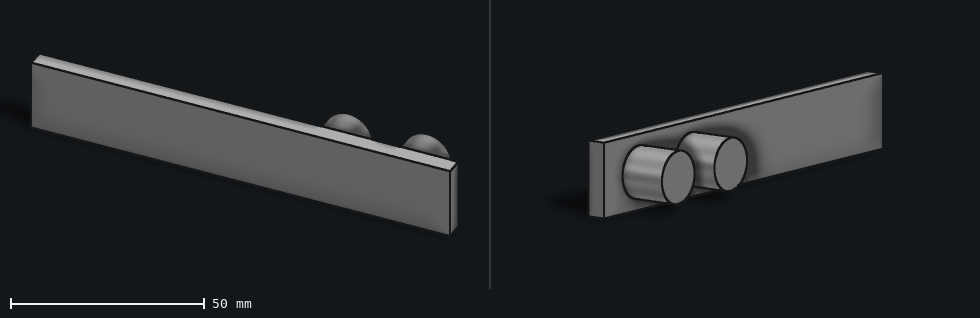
import cadquery as cq

plate_length = 120.0
plate_thickness = 5.0
plate_height = 20.0

overall_depth = 17.8
peg_length = overall_depth - plate_thickness
peg_diameter = 14.0
peg_spacing = 22.5
end_to_outer_peg = 15.0

outer_peg_x = plate_length / 2 - end_to_outer_peg
inner_peg_x = outer_peg_x - peg_spacing


def make_plate():
    """Plate centred on X and Z, with its front face at Y = 0."""
    return cq.Workplane("XY").box(
        plate_length, plate_thickness, plate_height, centered=(True, False, True)
    )


def make_peg(x):
    """Peg at mid height; it starts inside the plate so that the two join."""
    root_depth = plate_thickness / 2
    peg = cq.Solid.makeCylinder(
        peg_diameter / 2,
        peg_length + root_depth,
        cq.Vector(x, plate_thickness - root_depth, 0),
        cq.Vector(0, 1, 0),
    )
    return cq.Workplane(obj=peg)


result = make_plate()
for peg_x in (inner_peg_x, outer_peg_x):
    result = result.union(make_peg(peg_x))